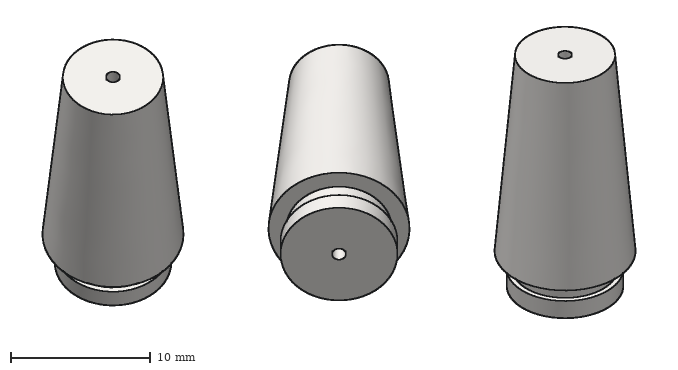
import cadquery as cq

total_height = 20.0
flange_height = 1.5
groove_height = 1.5

flange_diameter = 8.4
groove_diameter = 7.6
cone_base_diameter = 10.15
cone_top_diameter = 7.2
bore_diameter = 1.0

cone_start = flange_height + groove_height

half_section = [
    (bore_diameter / 2, 0),
    (flange_diameter / 2, 0),
    (flange_diameter / 2, flange_height),
    (groove_diameter / 2, flange_height),
    (groove_diameter / 2, cone_start),
    (cone_base_diameter / 2, cone_start),
    (cone_top_diameter / 2, total_height),
    (bore_diameter / 2, total_height),
]

result = (
    cq.Workplane("XZ")
    .polyline(half_section)
    .close()
    .revolve(360, (0, 0, 0), (0, 1, 0))
)